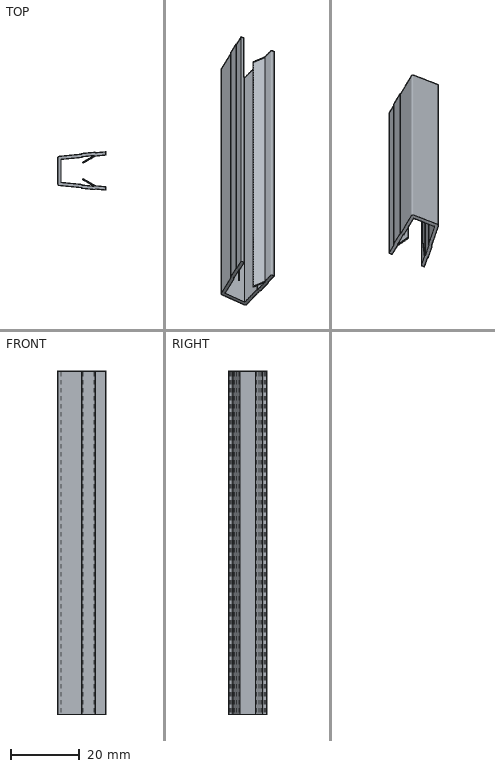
import cadquery as cq
import math

depth = 14.0
mouth_width = 11.2
length = 100.0

web_thickness = 1.0
arm_thickness = 1.0
flare_angle = math.radians(5.6)
corner_radius = 0.5
lip_radius = 0.2

band_start = 7.0
band_end = 10.93
band_offset = 0.18

tongue_length = 4.1
tongue_angle = math.radians(30)
tongue_thickness = 0.32

arm_height = arm_thickness / math.cos(flare_angle)


def outer_point(x):
    """Point on the plain outside line of the +Y arm."""
    return (x, mouth_width / 2 - math.tan(flare_angle) * (depth - x))


def inner_point(x):
    """Point on the plain inside line of the +Y arm."""
    return (x, outer_point(x)[1] - arm_height)


def set_outward(point):
    """Move a point of the +Y arm square to the arm by the band offset."""
    x, y = point
    return (x - band_offset * math.sin(flare_angle), y + band_offset * math.cos(flare_angle))


def extrude_outline(points):
    """Prism of the full clip length over a closed XY outline."""
    return cq.Workplane("XY").polyline(points).close().extrude(length)


def make_channel():
    """U-shaped body with flared, jogged arms, rounded back corners and lips."""
    upper = [
        outer_point(0),
        outer_point(band_start),
        set_outward(outer_point(band_start)),
        set_outward(outer_point(band_end)),
        outer_point(band_end),
        outer_point(depth),
        inner_point(depth),
        inner_point(band_end),
        set_outward(inner_point(band_end)),
        set_outward(inner_point(band_start)),
        inner_point(band_start),
        inner_point(web_thickness),
    ]
    lower = [(x, -y) for x, y in reversed(upper)]
    body = extrude_outline(upper + lower)
    body = body.edges("|Z and <X").fillet(corner_radius)

    lip_y = inner_point(depth)[1]
    lips = cq.selectors.BoxSelector(
        (depth - lip_radius, -lip_y - lip_radius, 0),
        (depth + lip_radius, lip_y + lip_radius, length),
    )
    return body.edges("|Z").edges(lips).fillet(lip_radius)


def make_tongue():
    """Thin slanted strip from its free tip up to the inside corner of the +Y jog."""
    root_x, root_y = inner_point(band_end)
    tip_x = root_x - tongue_length * math.cos(tongue_angle)
    tip_y = root_y - tongue_length * math.sin(tongue_angle)
    return extrude_outline([
        (tip_x, tip_y),
        (root_x, root_y),
        (root_x, root_y + tongue_thickness / math.cos(tongue_angle)),
        (
            tip_x - tongue_thickness * math.sin(tongue_angle),
            tip_y + tongue_thickness * math.cos(tongue_angle),
        ),
    ])


tongue = make_tongue()
result = make_channel().union(tongue).union(tongue.mirror("XZ"))